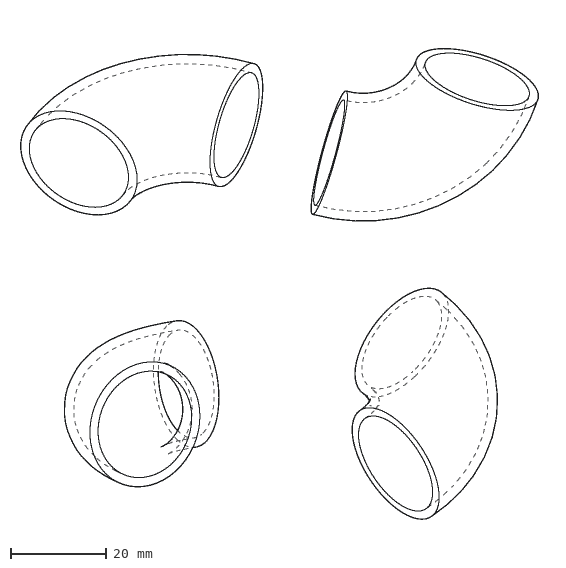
import cadquery as cq

outer_diameter = 26.9
wall_thickness = 2.0
bend_radius = 25.0
bend_angle = 90.0

inner_diameter = outer_diameter - 2 * wall_thickness


def pipe_elbow():
    """Tube section on the -X side of the bend axis, swept round Z to the +Y side."""
    tube_section = (
        cq.Workplane("XZ")
        .center(-bend_radius, 0)
        .circle(outer_diameter / 2)
        .circle(inner_diameter / 2)
    )
    axis_start = (bend_radius, 0)
    axis_end = (bend_radius, -1)
    return tube_section.revolve(bend_angle, axis_start, axis_end)


result = pipe_elbow()